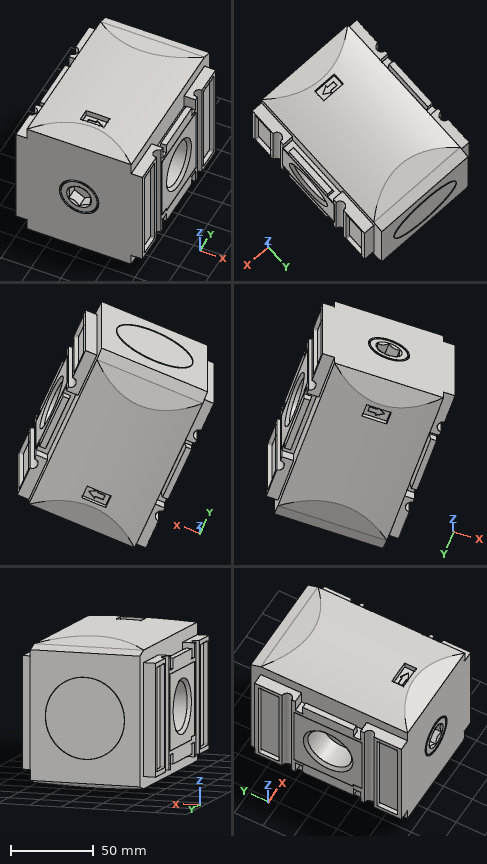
import cadquery as cq
import math


total_length = 109.5
body_length = 101.9
core_width = 69.9
flank_width = 85.0
flank_height = 69.9
total_height = 93.3
shoulder_height = 85.2
hood_end_run = 15.3
mid_y = body_length / 2

half_core = core_width / 2
half_flank = flank_width / 2
half_total_height = total_height / 2
half_shoulder = shoulder_height / 2

cap_end_height = 80.2
cap_disc_diameter = 50.4
cap_disc_thickness = 0.4
cap_end_y = total_length - cap_disc_thickness

clamp_groove_diameter = 6.5
clamp_groove_inset = 0.2
clamp_groove_offset = 28.6
panel_length = 14.1
panel_height = 64.0
panel_depth = 2.8
panel_corner_radius = 0.7
panel_offset = 41.1
relief_length = 45.3
relief_floor_height = 52.1
tab_length = 35.3
tab_height = 64.8
tab_top_thickness = 3.8
tab_root_thickness = 4.9
port_plate_size = 47.1
port_plate_recess = 0.1
port_plate_corner_radius = 0.5
plate_step_length = 6.0
plate_step_height = 1.9

port_diameter = 30.3
port_mouth_diameter = 34.6
port_depth = 17.8
port_chamfer = (port_mouth_diameter - port_diameter) / 2

plug_ring_outer_diameter = 26.4
plug_ring_inner_diameter = 24.1
plug_ring_width = (plug_ring_outer_diameter - plug_ring_inner_diameter) / 2
plug_ring_depth = plug_ring_width / 2
hex_across_flats = 14.0
hex_depth = 8.0
hex_mouth_diameter = 16.6
hex_mouth_depth = (hex_mouth_diameter - hex_across_flats) / 2

pocket_width = 15.8
pocket_length = 8.1
pocket_center_y = 22.2
pocket_floor_z = 42.6
arrow_depth = 0.5
arrow_length = 10.1
arrow_head_length = 4.9
arrow_head_width = 5.5
arrow_shaft_width = 3.0


def box(x_range, y_range, z_range):
    """Axis-aligned box given by its two limits along each axis."""
    limits = (x_range, y_range, z_range)
    sizes = [high - low for low, high in limits]
    lows = [low for low, high in limits]
    return cq.Workplane("XY").box(*sizes, centered=False).translate(tuple(lows))


def both_flanks(feature):
    """The -X feature together with its mirror image on the +X flank."""
    return feature.add(feature.mirror("YZ").vals()).combine()


def make_core():
    """Body with arched top and bottom, sloped at both ends."""
    arched = (
        cq.Workplane("XZ")
        .moveTo(-half_core, -half_shoulder)
        .threePointArc((0, -half_total_height), (half_core, -half_shoulder))
        .lineTo(half_core, half_shoulder)
        .threePointArc((0, half_total_height), (-half_core, half_shoulder))
        .close()
        .extrude(-cap_end_y)
    )
    half_side = [
        (0, half_shoulder),
        (hood_end_run, half_total_height),
        (body_length - hood_end_run, half_total_height),
        (body_length, half_shoulder),
        (cap_end_y, cap_end_height / 2),
    ]
    lower_side = [(y, -z) for y, z in reversed(half_side)]
    side_profile = (
        cq.Workplane("YZ")
        .polyline(half_side + lower_side)
        .close()
        .extrude(half_core, both=True)
    )
    return arched.intersect(side_profile)


def make_cap_disc():
    """Thin disc on the rear cap."""
    return (
        cq.Workplane("XZ", origin=(0, cap_end_y, 0))
        .circle(cap_disc_diameter / 2)
        .extrude(-cap_disc_thickness)
    )


def make_flank_reliefs():
    """Openings above and below each port, leaving a tapered tab in the middle of each."""
    y_start = mid_y - relief_length / 2
    y_end = mid_y + relief_length / 2
    floor_z = relief_floor_height / 2
    tab_z = tab_height / 2
    opening = box((-half_flank, -half_core), (y_start, y_end), (floor_z, flank_height / 2))
    tab = (
        cq.Workplane("XZ", origin=(0, mid_y, 0))
        .polyline([
            (-half_flank, floor_z),
            (-half_flank + tab_root_thickness, floor_z),
            (-half_flank + tab_top_thickness, tab_z),
            (-half_flank, tab_z),
        ])
        .close()
        .extrude(tab_length / 2, both=True)
    )
    upper = opening.cut(tab)
    return both_flanks(upper.add(upper.mirror("XY").vals()).combine())


def make_clamp_grooves():
    """Round vertical grooves beside each port."""
    groove_x = -half_flank + clamp_groove_inset
    radius = clamp_groove_diameter / 2
    centers = [(groove_x, mid_y - clamp_groove_offset), (groove_x, mid_y + clamp_groove_offset)]
    grooves = (
        cq.Workplane("XY")
        .pushPoints(centers)
        .circle(radius)
        .extrude(flank_height / 2, both=True)
    )
    for center_x, center_y in centers:
        mouth = box(
            (-half_flank, center_x),
            (center_y - radius, center_y + radius),
            (-flank_height / 2, flank_height / 2),
        )
        grooves = grooves.union(mouth)
    return both_flanks(grooves)


def make_side_panels():
    """Shallow rounded pockets near both ends of each flank."""
    panels = (
        cq.Workplane("YZ", origin=(-half_flank, 0, 0))
        .pushPoints([(mid_y - panel_offset, 0), (mid_y + panel_offset, 0)])
        .rect(panel_length, panel_height)
        .extrude(panel_depth)
        .edges("|X")
        .fillet(panel_corner_radius)
    )
    return both_flanks(panels)


def make_ports():
    """Chamfered blind port with a faintly recessed square plate around it."""
    plate = (
        cq.Workplane("YZ", origin=(-half_flank, mid_y, 0))
        .rect(port_plate_size, port_plate_size)
        .extrude(port_plate_recess)
    )
    half_plate = port_plate_size / 2
    step = box(
        (-half_flank, -half_flank + port_plate_recess),
        (mid_y - half_plate, mid_y - half_plate + plate_step_length),
        (-half_plate, -half_plate + plate_step_height),
    )
    plate = plate.edges("|X").fillet(port_plate_corner_radius).cut(step)
    bore = (
        cq.Workplane("XY")
        .polyline([
            (-half_flank, 0),
            (-half_flank, port_mouth_diameter / 2),
            (-half_flank + port_chamfer, port_diameter / 2),
            (-half_flank + port_depth, port_diameter / 2),
            (-half_flank + port_depth, 0),
        ])
        .close()
        .revolve(360, (0, 0, 0), (1, 0, 0))
        .translate((0, mid_y, 0))
    )
    return both_flanks(plate.union(bore))


def make_plug_recesses():
    """V groove around the plug and its countersunk hexagon socket."""
    ring = (
        cq.Workplane("XY")
        .polyline([
            (plug_ring_inner_diameter / 2, 0),
            (plug_ring_outer_diameter / 2, 0),
            (plug_ring_inner_diameter / 2 + plug_ring_width / 2, plug_ring_depth),
        ])
        .close()
        .revolve(360, (0, 0, 0), (0, 1, 0))
    )
    hexagon = (
        cq.Workplane("XZ")
        .transformed(rotate=(0, 0, 90))
        .polygon(6, hex_across_flats / math.cos(math.pi / 6))
        .extrude(-hex_depth)
    )
    countersink = (
        cq.Workplane("XY")
        .polyline([
            (0, 0),
            (hex_mouth_diameter / 2, 0),
            (hex_across_flats / 2, hex_mouth_depth),
            (0, hex_mouth_depth),
        ])
        .close()
        .revolve(360, (0, 0, 0), (0, 1, 0))
    )
    return ring.union(hexagon).union(countersink)


def make_arrow_pockets():
    """Rectangular pockets in both arches, each with a flow arrow engraved in its floor."""
    pocket = box(
        (-pocket_width / 2, pocket_width / 2),
        (pocket_center_y - pocket_length / 2, pocket_center_y + pocket_length / 2),
        (pocket_floor_z, half_total_height),
    )
    tail_x = -arrow_length / 2
    tip_x = arrow_length / 2
    neck_x = tip_x - arrow_head_length
    half_shaft = arrow_shaft_width / 2
    half_head = arrow_head_width / 2
    arrow = (
        cq.Workplane("XY", origin=(0, pocket_center_y, pocket_floor_z))
        .polyline([
            (tail_x, -half_shaft),
            (neck_x, -half_shaft),
            (neck_x, -half_head),
            (tip_x, 0),
            (neck_x, half_head),
            (neck_x, half_shaft),
            (tail_x, half_shaft),
        ])
        .close()
        .extrude(-arrow_depth)
    )
    upper = pocket.union(arrow)
    return upper.add(upper.mirror("XY").vals()).combine()


flank_block = box(
    (-half_flank, half_flank),
    (0, body_length),
    (-flank_height / 2, flank_height / 2),
)

result = (
    make_core()
    .union(flank_block)
    .union(make_cap_disc())
    .cut(make_flank_reliefs())
    .cut(make_clamp_grooves())
    .cut(make_side_panels())
    .cut(make_ports())
    .cut(make_plug_recesses())
    .cut(make_arrow_pockets())
)